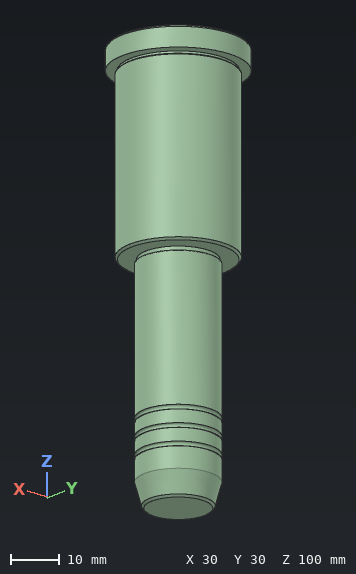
import cadquery as cq

total_length = 100.0
head_radius = 15.0
head_thickness = 5.0
head_chamfer = 0.5

body_radius = 13.0
body_bottom = 54.0
body_chamfer = 0.5
body_undercut_depth = 0.4
body_undercut_width = 0.5
body_shoulder_height = 0.3

pin_radius = 9.0
pin_undercut_depth = 0.4
pin_undercut_width = 1.0

groove_count = 3
groove_pitch = 4.0
groove_radius = 0.5
lowest_groove_height = 11.0

tip_length = 5.6
tip_radius = 7.6
tip_chamfer = 0.5


def cylinder(radius, bottom, top):
    """Solid cylinder on the Z axis between two heights."""
    return cq.Workplane("XY").workplane(offset=bottom).circle(radius).extrude(top - bottom)


def ring_cut(radius, depth, bottom, width):
    """Ring that cuts a groove into a cylinder of the given radius."""
    return cylinder(radius + depth, bottom, bottom + width).cut(
        cylinder(radius - depth, bottom, bottom + width)
    )


head_bottom = total_length - head_thickness
head = cylinder(head_radius, head_bottom, total_length).faces(">Z").chamfer(head_chamfer)

neck_radius = body_radius - body_undercut_depth
neck_bottom = head_bottom - body_undercut_width
body_top = neck_bottom - body_shoulder_height
body = (
    cq.Workplane("XZ")
    .moveTo(0, body_bottom)
    .lineTo(body_radius - body_chamfer, body_bottom)
    .lineTo(body_radius, body_bottom + body_chamfer)
    .lineTo(body_radius, body_top)
    .lineTo(neck_radius, neck_bottom)
    .lineTo(neck_radius, head_bottom)
    .lineTo(0, head_bottom)
    .close()
    .revolve(360, (0, 0), (0, 1))
)

pin = cylinder(pin_radius, tip_length, body_bottom)
pin = pin.cut(
    ring_cut(pin_radius, pin_undercut_depth, body_bottom - pin_undercut_width, pin_undercut_width)
)
for index in range(groove_count):
    groove_height = lowest_groove_height + index * groove_pitch
    groove_center = cq.Vector(0, 0, groove_height)
    groove_ring = cq.Solid.makeTorus(pin_radius, groove_radius, groove_center)
    pin = pin.cut(groove_ring)

tip = (
    cq.Workplane("XZ")
    .lineTo(tip_radius - tip_chamfer, 0)
    .lineTo(tip_radius, tip_chamfer)
    .lineTo(pin_radius, tip_length)
    .lineTo(0, tip_length)
    .close()
    .revolve(360, (0, 0), (0, 1))
)

result = head.union(body).union(pin).union(tip)